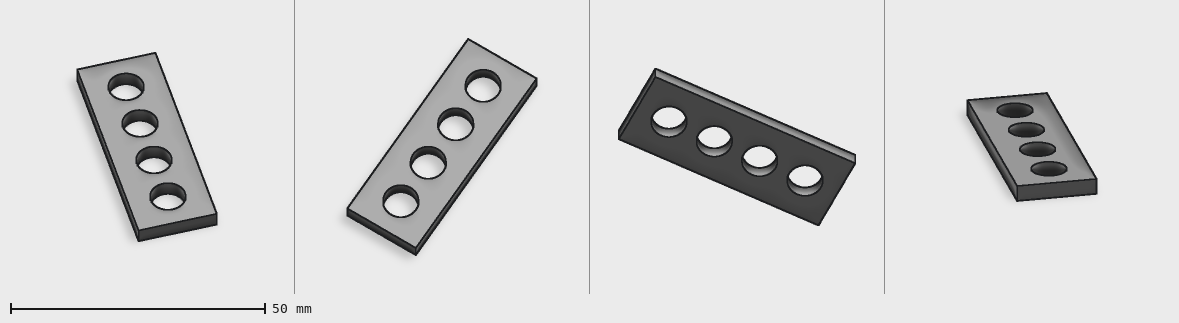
import cadquery as cq

length = 44.0
width = 16.0
thickness = 3.2

hole_count = 4
hole_diameter = 7.0
hole_pitch = 10.0

plate = cq.Workplane("XY").box(length, width, thickness)

result = (
    plate.faces(">Z")
    .workplane()
    .rarray(hole_pitch, width, hole_count, 1)
    .hole(hole_diameter)
)